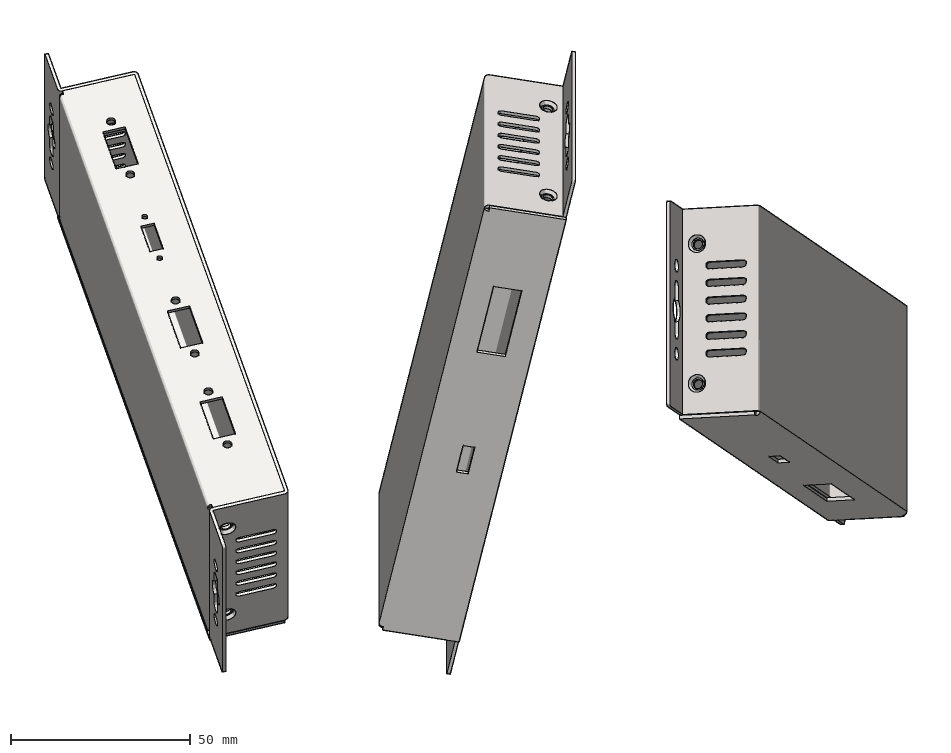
import cadquery as cq


overall_width = 179.3
box_width = 153.0
depth = 23.0
height = 59.4
mid_height = height / 2
half_box = box_width / 2

sheet = 1.0
inner_bend = 0.25
outer_bend = sheet + inner_bend
flange_bend = 0.95
floor_gap = 0.2
wall_bottom = sheet + floor_gap

flange_hole_x = 82.7
flange_hole_diameter = 3.5
flange_hole_spacing = 25.0
keyhole_length = 16.5
keyhole_diameter = 7.0
flange_corner_radius = 1.0

vent_count = 6
vent_pitch = 5.0
vent_length = 11.7
vent_width = 2.0
vent_y = 13.5
vent_mid_z = 30.6

screw_y = 5.1
screw_spacing = 39.6
screw_mid_z = 29.6
screw_head_diameter = 5.0
screw_clearance_diameter = 3.5
screw_thread_diameter = 2.65

floor_port_left = -49.3
floor_port_right = -25.5
floor_port_depth = 8.0
floor_slot_x = 12.6
floor_slot_width = 9.6
floor_slot_depth = 3.3
floor_slot_y = 10.85

half_cover = half_box - sheet
cover_bend = 1.15
cover_inner_bend = cover_bend - sheet
cover_tab_depth = 7.0
cover_back = depth - sheet

large_connector_xs = (-51.95, 12.95, 45.9)
large_connector_y = 11.2
large_width = 13.4
large_depth = 6.4
large_screw_spacing = 19.2
large_screw_diameter = 2.46
small_connector_x = -19.55
small_connector_y = 11.0
small_width = 9.2
small_depth = 3.8
small_screw_spacing = 15.0
small_screw_diameter = 1.57


def block(x_range, y_range, z_range):
    """Box between the given lower and upper limits on each axis."""
    (x0, x1), (y0, y1), (z0, z1) = x_range, y_range, z_range
    corner = cq.Workplane("XY", origin=(x0, y0, z0))
    return corner.box(x1 - x0, y1 - y0, z1 - z0, centered=False)


def centred(middle, size):
    """Lower and upper limits of a length placed around its middle."""
    return (middle - size / 2, middle + size / 2)


full_width = (-half_box, half_box)
inner_width = (-half_cover, half_cover)
screw_zs = centred(screw_mid_z, screw_spacing)


def make_walls():
    """Back panel with an end wall bent forward at each side."""
    outer = block(full_width, (0, depth), (wall_bottom, height))
    outer = outer.edges("|Z and >Y").fillet(outer_bend)
    inner = block(inner_width, (-sheet, depth - sheet), (0, height + sheet))
    inner = inner.edges("|Z and >Y").fillet(inner_bend)
    return outer.cut(inner)


def make_floor():
    """Floor plate bent up into the lower back; the bend stops short of the end-wall bends."""
    plate = block(full_width, (0, depth - outer_bend), (0, sheet))
    bend_width = (-half_box + outer_bend, half_box - outer_bend)
    bend = block(bend_width, (0, depth), (0, mid_height))
    bend = bend.edges("|X and >Y and <Z").fillet(outer_bend)
    hollow = block(bend_width, (0, depth - sheet), (sheet, mid_height))
    hollow = hollow.edges("|X and >Y and <Z").fillet(inner_bend)
    return plate.union(bend.cut(hollow))


def make_flange():
    """Flange on the +X side, rounded where it turns into the end wall."""
    flange = block((half_cover, overall_width / 2), (0, sheet), (wall_bottom, height))
    flange = flange.edges("|Y and >X").fillet(flange_corner_radius)
    flange = flange.edges("|Z and <X and <Y").fillet(flange_bend)
    face = cq.Workplane("XZ", origin=(flange_hole_x, sheet, mid_height))
    keyhole = face.slot2D(keyhole_length, flange_hole_diameter, 90).extrude(sheet)
    keyhole_centre = face.circle(keyhole_diameter / 2).extrude(sheet)
    round_holes = face.rarray(1, flange_hole_spacing, 1, 2).circle(flange_hole_diameter / 2).extrude(sheet)
    return flange.cut(keyhole).cut(keyhole_centre).cut(round_holes)


def make_vents():
    wall = cq.Workplane("YZ", origin=(-half_box, vent_y, vent_mid_z))
    return wall.rarray(1, vent_pitch, 1, vent_count).slot2D(vent_length, vent_width).extrude(box_width)


def make_countersink(side, z):
    cone = cq.Solid.makeCone(
        screw_head_diameter / 2,
        screw_clearance_diameter / 2,
        sheet,
        pnt=cq.Vector(side * half_box, screw_y, z),
        dir=cq.Vector(-side, 0, 0),
    )
    return cq.Workplane(obj=cone)


def make_housing():
    housing = make_walls()
    housing = housing.cut(block(full_width, (0, sheet), (0, height)))
    flange = make_flange()
    housing = housing.union(flange).union(flange.mirror("YZ")).union(make_floor())
    housing = housing.cut(make_vents())
    for side in (-1, 1):
        for z in screw_zs:
            housing = housing.cut(make_countersink(side, z))
    port = block(
        (floor_port_left, floor_port_right),
        centred(large_connector_y, floor_port_depth),
        (0, sheet),
    )
    slot = block(
        centred(floor_slot_x, floor_slot_width),
        centred(floor_slot_y, floor_slot_depth),
        (0, sheet),
    )
    return housing.cut(port).cut(slot)


def make_front_and_top():
    """Front panel bent back into the full top and a short bottom tab, with relieved corners."""
    panel_width = (-half_cover + cover_bend, half_cover - cover_bend)
    outer = block(panel_width, (0, cover_back), (sheet, height))
    outer = outer.edges("|X and <Y").fillet(cover_bend)
    inner = block(panel_width, (sheet, depth), (2 * sheet, height - sheet))
    inner = inner.edges("|X and <Y").fillet(cover_inner_bend)
    behind_tab = block(panel_width, (cover_tab_depth, depth), (0, mid_height))
    top = block(inner_width, (cover_bend, cover_back), (height - sheet, height))
    top = top.edges("|Z and >Y").fillet(inner_bend)
    return outer.cut(inner).cut(behind_tab).union(top)


def make_side_tabs():
    """Short tabs bent back from both ends of the front panel."""
    tab_heights = (sheet + cover_bend, height - cover_bend)
    outer = block(inner_width, (0, cover_tab_depth), tab_heights)
    outer = outer.edges("|Z and <Y").fillet(cover_bend)
    inner = block((-half_cover + sheet, half_cover - sheet), (sheet, depth), (0, height))
    inner = inner.edges("|Z and <Y").fillet(cover_inner_bend)
    return outer.cut(inner)


def make_screw_holes():
    """Thread holes that run through both side tabs."""
    holes = cq.Workplane("YZ", origin=(-half_cover, screw_y, screw_mid_z)).rarray(1, screw_spacing, 1, 2)
    return holes.circle(screw_thread_diameter / 2).extrude(2 * half_cover)


def make_connector(x, y, width, length, screw_spacing_x, screw_diameter):
    """Rectangular cutout in the top with a screw hole at each end."""
    top = cq.Workplane("XY", origin=(x, y, height - sheet))
    screws = top.rarray(screw_spacing_x, 1, 2, 1).circle(screw_diameter / 2).extrude(sheet)
    return top.rect(width, length).extrude(sheet).union(screws)


def make_cover():
    cover = make_front_and_top().union(make_side_tabs()).cut(make_screw_holes())
    for x in large_connector_xs:
        cover = cover.cut(
            make_connector(
                x, large_connector_y, large_width, large_depth, large_screw_spacing, large_screw_diameter
            )
        )
    return cover.cut(
        make_connector(
            small_connector_x,
            small_connector_y,
            small_width,
            small_depth,
            small_screw_spacing,
            small_screw_diameter,
        )
    )


housing = make_housing()
cover = make_cover()
result = cq.Compound.makeCompound([housing.val(), cover.val()])